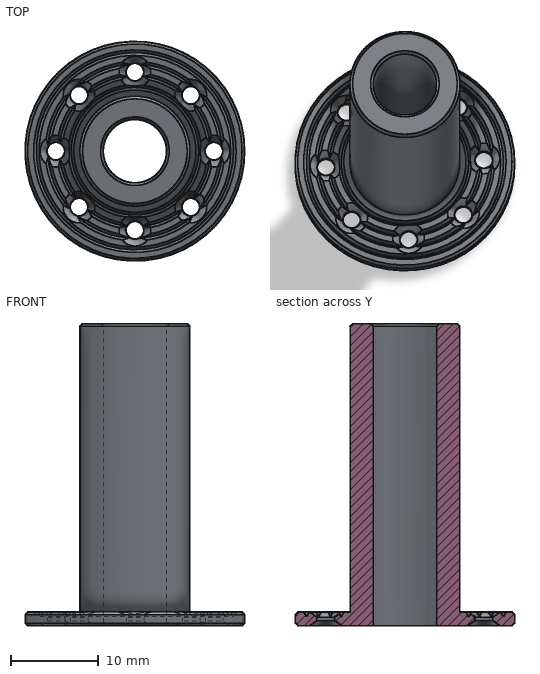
import cadquery as cq

total_height = 34.38
flange_diameter = 25.0
flange_thickness = 1.58
tube_diameter = 12.5
bore_diameter = 7.2
edge_chamfer = 0.3

hole_count = 8
hole_diameter = 2.0
hole_circle_diameter = 17.98
countersink_diameter = 3.6
countersink_depth = 0.6

groove_count = 4
inner_groove_radius = 7.25
outer_groove_radius = 11.2
groove_half_width = 0.3
groove_depth = 0.5
groove_pitch = (outer_groove_radius - inner_groove_radius) / (groove_count - 1)


def revolve_section(points):
    """Solid of revolution about Z from a closed outline of (radius, height) points."""
    profile = cq.Workplane("XZ").polyline(points).close()
    return profile.revolve(360, (0, 0, 0), (0, 1, 0))


def make_body():
    """Tube standing on a round flange, with chamfered rims and a through bore."""
    flange = cq.Workplane("XY").circle(flange_diameter / 2).extrude(flange_thickness)
    flange = flange.edges().chamfer(edge_chamfer)
    tube = cq.Workplane("XY").circle(tube_diameter / 2).extrude(total_height)
    bore = cq.Workplane("XY").circle(bore_diameter / 2).extrude(total_height)
    body = flange.union(tube).cut(bore)
    return body.faces(">Z").edges().chamfer(edge_chamfer)


def cut_grooves(body):
    """Evenly pitched V-grooves running around the tube."""
    for index in range(groove_count):
        radius = inner_groove_radius + index * groove_pitch
        groove = revolve_section([
            (radius - groove_half_width, flange_thickness),
            (radius, flange_thickness - groove_depth),
            (radius + groove_half_width, flange_thickness),
        ])
        body = body.cut(groove)
    return body


def cut_holes(body):
    """Holes countersunk from both faces, evenly spaced on a circle around the tube."""
    hole = revolve_section([
        (0, 0),
        (countersink_diameter / 2, 0),
        (hole_diameter / 2, countersink_depth),
        (hole_diameter / 2, flange_thickness - countersink_depth),
        (countersink_diameter / 2, flange_thickness),
        (0, flange_thickness),
    ])
    hole = hole.translate((hole_circle_diameter / 2, 0, 0))
    for index in range(hole_count):
        body = body.cut(hole.rotate((0, 0, 0), (0, 0, 1), index * 360 / hole_count))
    return body


result = cut_holes(cut_grooves(make_body()))